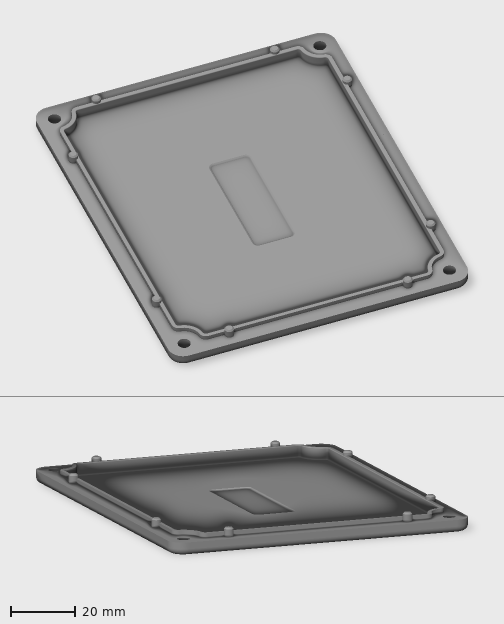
import cadquery as cq
import math

LENGTH = 120.4
WIDTH = 100.4
PLATE_TOP = 4.1
CORNER_RADIUS = 5.0
BOTTOM_ROUND = 1.9

HOLE_DIAMETER = 4.1
HOLE_INSET = 5.7

RIB_INSET = 4.6
RIB_TOP = 5.5
RIB_THICKNESS = 1.3
RIB_LIP_ROUND = 0.2
RIB_RELIEF_RADIUS = 5.5
RIB_OUTER_ROUND = 2.3
RIB_INNER_ROUND = 1.0

FLOOR_TOP = 1.7
FLOOR_FILLET = 0.5

POST_TOP = 7.0
POST_DIAMETER = 3.0
POST_CHAMFER = 0.5
POST_INSET = 4.2
POST_X = 35.0
POST_Y = 30.0

LABEL_LENGTH = 39.7
LABEL_WIDTH = 14.2
LABEL_DEPTH = 0.5
LABEL_CORNER_RADIUS = 1.9
LABEL_WALL_RUN = 0.7

HOLE_X = LENGTH / 2 - HOLE_INSET
HOLE_Y = WIDTH / 2 - HOLE_INSET
HOLE_POINTS = [(sx * HOLE_X, sy * HOLE_Y) for sx in (-1, 1) for sy in (-1, 1)]


def make_plate():
    plate = cq.Workplane("XY").box(LENGTH, WIDTH, PLATE_TOP, centered=(True, True, False))
    plate = plate.edges("|Z").fillet(CORNER_RADIUS)
    return plate.faces("<Z").edges().fillet(BOTTOM_ROUND)


def make_relieved_block(inset, relief_radius, corner_round, bottom, top):
    """Rectangular block whose corners are cut away by arcs around the screw holes."""
    base = cq.Workplane("XY").workplane(offset=bottom)
    block = base.rect(LENGTH - 2 * inset, WIDTH - 2 * inset).extrude(top - bottom)
    reliefs = base.pushPoints(HOLE_POINTS).circle(relief_radius).extrude(top - bottom)
    return block.cut(reliefs).edges("|Z").fillet(corner_round)


def make_rib_block():
    return make_relieved_block(RIB_INSET, RIB_RELIEF_RADIUS, RIB_OUTER_ROUND, FLOOR_TOP, RIB_TOP)


def make_pocket():
    pocket = make_relieved_block(
        RIB_INSET + RIB_THICKNESS,
        RIB_RELIEF_RADIUS + RIB_THICKNESS,
        RIB_INNER_ROUND,
        FLOOR_TOP,
        RIB_TOP,
    )
    return pocket.faces("<Z").edges().fillet(FLOOR_FILLET)


def make_posts():
    side_x = LENGTH / 2 - POST_INSET
    side_y = WIDTH / 2 - POST_INSET
    points = [(sx * POST_X, sy * side_y) for sx in (-1, 1) for sy in (-1, 1)]
    points += [(sx * side_x, sy * POST_Y) for sx in (-1, 1) for sy in (-1, 1)]
    base = cq.Workplane("XY").workplane(offset=FLOOR_TOP)
    posts = base.pushPoints(points).circle(POST_DIAMETER / 2).extrude(POST_TOP - FLOOR_TOP)
    return posts.faces(">Z").edges().chamfer(POST_CHAMFER)


def round_lip(body):
    """Round the inner rim of the rib's top face."""
    rim = body.faces(">Z").val().innerWires()[0].Edges()
    return cq.Workplane(body.val().fillet(RIB_LIP_ROUND, rim))


def make_label_recess():
    """Shallow recess whose walls slope in towards its floor."""
    outline = cq.Sketch().rect(LABEL_LENGTH, LABEL_WIDTH).vertices().fillet(LABEL_CORNER_RADIUS)
    base = cq.Workplane("XY").workplane(offset=FLOOR_TOP)
    wall_taper = math.degrees(math.atan2(LABEL_WALL_RUN, LABEL_DEPTH))
    return base.placeSketch(outline).extrude(-LABEL_DEPTH, taper=wall_taper)


def make_holes():
    return cq.Workplane("XY").pushPoints(HOLE_POINTS).circle(HOLE_DIAMETER / 2).extrude(RIB_TOP)


result = make_plate().union(make_rib_block()).cut(make_pocket())
result = round_lip(result).cut(make_label_recess())
result = result.union(make_posts()).cut(make_holes())